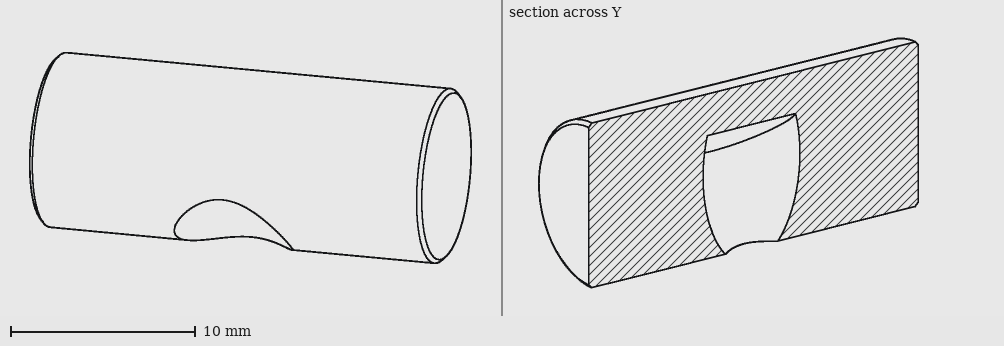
import cadquery as cq
import math

pin_length = 22.23
pin_diameter = 9.51
end_chamfer = 0.22

hole_diameter = 6.5
hole_depth = 6.67
hole_x = -0.13
hole_angle = 55.0

pin_radius = pin_diameter / 2


def make_pin():
    """Round bar with both end edges chamfered."""
    bar = cq.Workplane("YZ", origin=(-pin_length / 2, 0, 0)).circle(pin_radius).extrude(pin_length)
    return bar.faces("<X or >X").edges().chamfer(end_chamfer)


def make_hole_cutter():
    """Cylinder from the hole floor out to well beyond the pin surface."""
    angle = math.radians(hole_angle)
    outward = cq.Vector(0, -math.cos(angle), -math.sin(angle))
    floor_centre = cq.Vector(hole_x, 0, 0) + outward * (pin_radius - hole_depth)
    cutter_length = hole_depth + pin_radius
    return cq.Solid.makeCylinder(hole_diameter / 2, cutter_length, floor_centre, outward)


result = make_pin().cut(cq.Workplane(make_hole_cutter()))